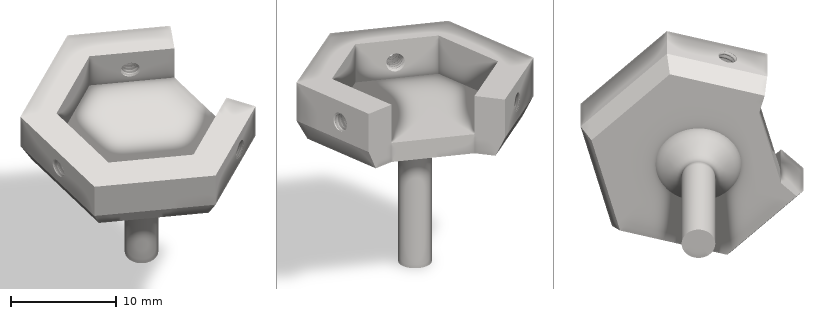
import cadquery as cq
import math

pocket_across_flats = 14.1
wall = 3.0
pocket_depth = 4.0
floor_thickness = 2.0
floor_taper_angle = 25.0

stem_diameter = 3.2
stem_length = 12.0
cone_height = 2.0

minor_diameter = 1.66
major_diameter = 2.07
thread_pitch = 0.4
thread_start_angle = 180.0
hole_depth_below_rim = 2.25
hole_side_offset = 0.15
hole_directions = (0, 120, 240)

open_direction = 60

corner_spacing = 360 / 6
half_spacing = corner_spacing / 2

pocket_apothem = pocket_across_flats / 2
pocket_corner_radius = pocket_apothem / math.cos(math.radians(half_spacing))
outer_apothem = pocket_apothem + wall
outer_corner_radius = outer_apothem / math.cos(math.radians(half_spacing))
cone_top_diameter = pocket_corner_radius
cup_bottom = stem_length + cone_height
pocket_floor = cup_bottom + floor_thickness
rim = pocket_floor + pocket_depth
hole_height = rim - hole_depth_below_rim
thread_section_diameter = (minor_diameter + major_diameter) / 2
thread_eccentricity = (major_diameter - minor_diameter) / 4
thread_overrun = thread_pitch / 2


def polar(radius, angle):
    """Point in the XY plane at a radius and an angle in degrees."""
    return (radius * math.cos(math.radians(angle)), radius * math.sin(math.radians(angle)))


def hexagon(height, corner_radius):
    """Hexagon with two corners on the Y axis, on a plane at the given height."""
    corners = [polar(corner_radius, half_spacing + corner_spacing * i) for i in range(6)]
    return cq.Workplane("XY", origin=(0, 0, height)).polyline(corners).close()


def make_cup():
    """Hexagonal cup with a floor that tapers inwards below the pocket."""
    walls = hexagon(pocket_floor, outer_corner_radius).extrude(pocket_depth)
    tapered_floor = hexagon(pocket_floor, outer_corner_radius).extrude(
        -floor_thickness, taper=floor_taper_angle
    )
    pocket = hexagon(pocket_floor, pocket_corner_radius).extrude(pocket_depth)
    return walls.union(tapered_floor).cut(pocket)


def make_opening():
    """Prism that removes one side, leaving the neighbouring walls with square ends."""
    reach = 2 * wall
    right_corner = polar(pocket_corner_radius, open_direction - half_spacing)
    left_corner = polar(pocket_corner_radius, open_direction + half_spacing)
    right_step = polar(reach, open_direction - corner_spacing)
    left_step = polar(reach, open_direction + corner_spacing)
    outline = [
        right_corner,
        (right_corner[0] + right_step[0], right_corner[1] + right_step[1]),
        (left_corner[0] + left_step[0], left_corner[1] + left_step[1]),
        left_corner,
    ]
    base = cq.Workplane("XY", origin=(0, 0, cup_bottom))
    return base.polyline(outline).close().extrude(rim - cup_bottom)


def make_stem():
    """Round stem that widens into a cone under the cup."""
    profile = [
        (0, 0),
        (stem_diameter / 2, 0),
        (stem_diameter / 2, stem_length),
        (cone_top_diameter / 2, cup_bottom),
        (0, cup_bottom),
    ]
    return cq.Workplane("XZ").polyline(profile).close().revolve(360, (0, 0), (0, 1))


def make_threaded_hole():
    """Hole cutter through the wall on the +X side, running slightly past both wall faces."""
    length = wall + 2 * thread_overrun
    turns = length / thread_pitch
    start = (pocket_apothem - thread_overrun, hole_side_offset, hole_height)
    plane = cq.Plane(origin=start, xDir=(0, 0, -1), normal=(1, 0, 0))
    section_center = polar(thread_eccentricity, thread_start_angle)
    section = cq.Workplane(plane).moveTo(*section_center).circle(thread_section_diameter / 2)
    return section.twistExtrude(length, 360 * turns)


result = make_cup().cut(make_opening()).union(make_stem())
for direction in hole_directions:
    result = result.cut(make_threaded_hole().rotate((0, 0, 0), (0, 0, 1), direction))